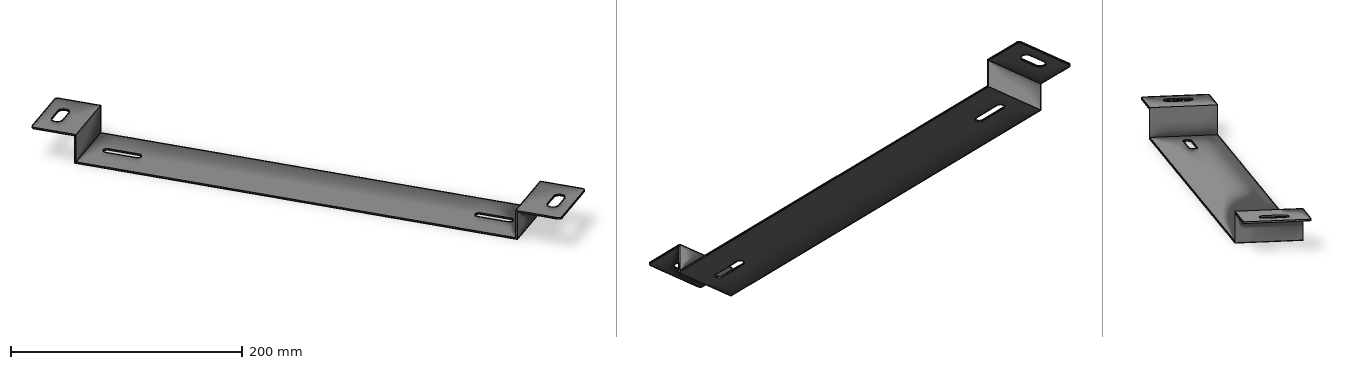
import cadquery as cq

length = 490.0
width = 60.0
height = 28.0
thickness = 1.5

flange_length = 41.5
corner_radius = 3.0

flange_slot_length = 25.5
flange_slot_width = 10.5
flange_slot_inset = 15.5
base_slot_length = 35.5
base_slot_width = 7.5
base_slot_inset = 73.0

half_length = length / 2
web_inner_x = half_length - flange_length
web_outer_x = web_inner_x + thickness


def bent_strip():
    """Hat-shaped sheet profile, extruded across the width and centred on Y."""
    right_half = [
        (0, 0),
        (web_outer_x, 0),
        (web_outer_x, height - thickness),
        (half_length, height - thickness),
        (half_length, height),
        (web_inner_x, height),
        (web_inner_x, thickness),
        (0, thickness),
    ]
    half = cq.Workplane("XZ").polyline(right_half).close().extrude(width / 2, both=True)
    return half.union(half.mirror("YZ")).clean()


def slot_pair(inset, slot_length, slot_width, angle):
    """Cutters for one slot at each end, angled from the X axis."""
    x = half_length - inset
    return cq.Workplane("XY").pushPoints([(-x, 0), (x, 0)]).slot2D(slot_length, slot_width, angle).extrude(height)


strip = bent_strip()
strip = strip.edges("|Z and (<X or >X)").fillet(corner_radius)

flange_slots = slot_pair(flange_slot_inset, flange_slot_length, flange_slot_width, 90)
base_slots = slot_pair(base_slot_inset, base_slot_length, base_slot_width, 0)
result = strip.cut(flange_slots).cut(base_slots)